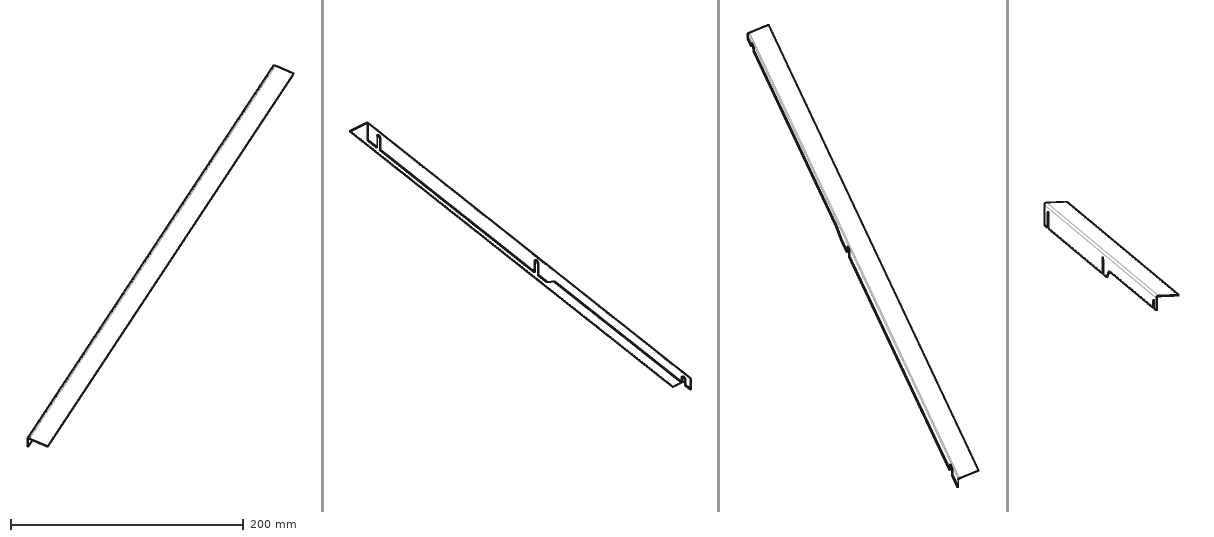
import cadquery as cq

LENGTH = 450.0
FLANGE_WIDTH = 20.0
LEG_HEIGHT = 20.0
THICKNESS = 1.0
INNER_BEND_RADIUS = 1.0
OUTER_BEND_RADIUS = INNER_BEND_RADIUS + THICKNESS

SHALLOW_LEG_HEIGHT = 13.0
RAMP_START = 250.0
RAMP_LENGTH = 10.0

SLOT_WIDTH = 5.0
SLOT_TOP_DEPTH = 5.5
SLOT_DISTANCES = (15.0, 235.0, 440.0)

LEG_FACE_X = -FLANGE_WIDTH / 2
FLANGE_EDGE_X = FLANGE_WIDTH / 2
TOP_Z = LEG_HEIGHT / 2
BOTTOM_Z = TOP_Z - LEG_HEIGHT
FAR_END_Y = LENGTH / 2
NEAR_END_Y = FAR_END_Y - LENGTH


def bent_angle():
    """Constant-thickness angle with a rounded bend, running along Y."""
    section = (
        cq.Workplane("XZ", origin=(0, FAR_END_Y, 0))
        .moveTo(LEG_FACE_X, BOTTOM_Z)
        .lineTo(LEG_FACE_X, TOP_Z - OUTER_BEND_RADIUS)
        .radiusArc((LEG_FACE_X + OUTER_BEND_RADIUS, TOP_Z), OUTER_BEND_RADIUS)
        .lineTo(FLANGE_EDGE_X, TOP_Z)
        .lineTo(FLANGE_EDGE_X, TOP_Z - THICKNESS)
        .lineTo(LEG_FACE_X + OUTER_BEND_RADIUS, TOP_Z - THICKNESS)
        .radiusArc((LEG_FACE_X + THICKNESS, TOP_Z - OUTER_BEND_RADIUS), -INNER_BEND_RADIUS)
        .lineTo(LEG_FACE_X + THICKNESS, BOTTOM_Z)
        .close()
    )
    return section.extrude(LENGTH)


def leg_plane():
    """Sketch plane on the outer leg face, with local axes along Y and Z."""
    return cq.Workplane("YZ", origin=(LEG_FACE_X, 0, 0))


def leg_relief():
    """Material below the shallow -Y part of the leg, including the ramp."""
    ramp_start_y = FAR_END_Y - RAMP_START
    shallow_z = TOP_Z - SHALLOW_LEG_HEIGHT
    outline = [
        (ramp_start_y, BOTTOM_Z),
        (ramp_start_y - RAMP_LENGTH, shallow_z),
        (NEAR_END_Y, shallow_z),
        (NEAR_END_Y, BOTTOM_Z),
    ]
    return leg_plane().polyline(outline).close().extrude(THICKNESS)


def open_slot(distance):
    """Round-topped slot through the leg, open at the bottom."""
    half_width = SLOT_WIDTH / 2
    center_y = FAR_END_Y - distance
    slot_top_z = TOP_Z - SLOT_TOP_DEPTH
    arc_start_z = slot_top_z - half_width
    return (
        leg_plane()
        .moveTo(center_y - half_width, BOTTOM_Z)
        .lineTo(center_y - half_width, arc_start_z)
        .threePointArc((center_y, slot_top_z), (center_y + half_width, arc_start_z))
        .lineTo(center_y + half_width, BOTTOM_Z)
        .close()
        .extrude(THICKNESS)
    )


result = bent_angle().cut(leg_relief())
for slot_distance in SLOT_DISTANCES:
    result = result.cut(open_slot(slot_distance))